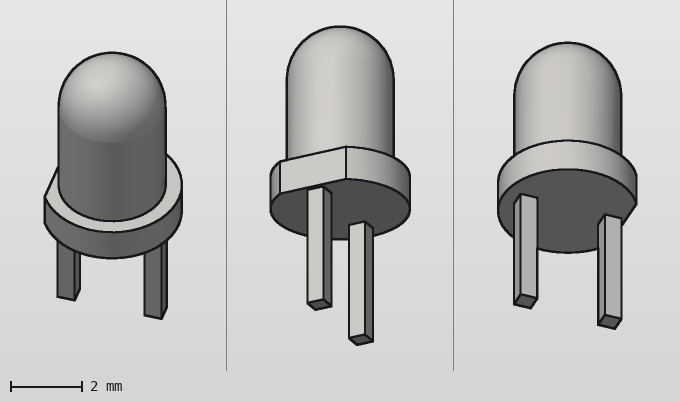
import cadquery as cq

FLANGE_DIAMETER = 3.9
FLANGE_HEIGHT = 1.0
FLANGE_WIDTH = 3.6

LENS_DIAMETER = 3.0
LENS_RADIUS = LENS_DIAMETER / 2

LEAD_SIDE = 0.5
LEAD_SPACING = 2.54
LEAD_LENGTH = 3.5

OVERALL_HEIGHT = 9.0
LENS_TOP = OVERALL_HEIGHT - LEAD_LENGTH
DOME_BASE = LENS_TOP - LENS_RADIUS
FLAT_X = FLANGE_DIAMETER / 2 - FLANGE_WIDTH


def make_flange():
    """Disc cut by a plane at FLAT_X, leaving one flat on the -X side."""
    disc = cq.Workplane("XY").circle(FLANGE_DIAMETER / 2).extrude(FLANGE_HEIGHT)
    kept_side = (
        cq.Workplane("XY")
        .box(FLANGE_WIDTH, FLANGE_DIAMETER, FLANGE_HEIGHT, centered=(False, True, False))
        .translate((FLAT_X, 0, 0))
    )
    return disc.intersect(kept_side)


def make_lens():
    """Half profile revolved about Z: straight wall, then a quarter arc to the tip."""
    arc_middle = LENS_RADIUS * 0.5 ** 0.5
    return (
        cq.Workplane("XZ")
        .moveTo(0, FLANGE_HEIGHT)
        .lineTo(LENS_RADIUS, FLANGE_HEIGHT)
        .lineTo(LENS_RADIUS, DOME_BASE)
        .threePointArc((arc_middle, DOME_BASE + arc_middle), (0, LENS_TOP))
        .close()
        .revolve(360, (0, 0, 0), (0, 1, 0))
    )


def make_lead(center_x):
    """Square post hanging from the flange underside."""
    return cq.Workplane("XY").center(center_x, 0).rect(LEAD_SIDE, LEAD_SIDE).extrude(-LEAD_LENGTH)


flange = make_flange()
lens = make_lens()
leads = [make_lead(side * LEAD_SPACING / 2) for side in (-1, 1)]

result = cq.Compound.makeCompound([flange.val(), lens.val(), *[lead.val() for lead in leads]])